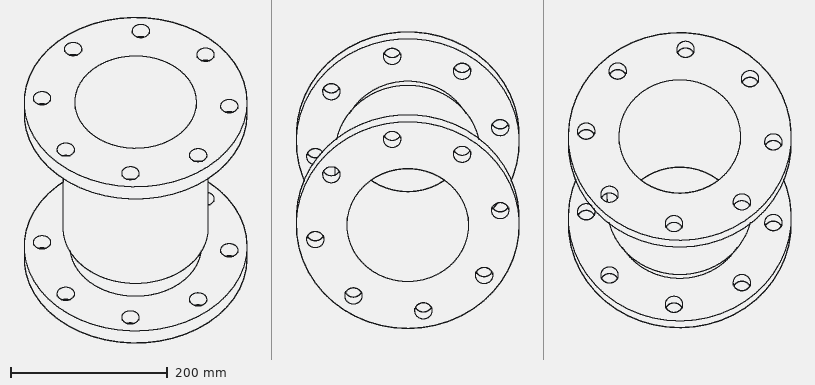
import cadquery as cq

height = 307.0
flange_radius = 285.0 / 2
flange_thickness = 24.0

bore_radius = 155.3 / 2
neck_radius = 168.2 / 2
sleeve_radius = 185.5 / 2
neck_end = 54.0
shoulder_height = 6.0
shoulder_pull = 4.5

bolt_count = 8
bolt_circle_radius = 239.5 / 2
bolt_hole_radius = 22.0 / 2
first_bolt_angle = 180.0 / bolt_count


def make_tube():
    """Revolve the half section: two flanges, two necks and the thicker sleeve between them.

    Each shoulder is one S-curve that leaves the neck and meets the sleeve parallel to the axis.
    """
    sleeve_bottom = neck_end + shoulder_height
    lower_shoulder = [
        (neck_radius, neck_end),
        (neck_radius, neck_end + shoulder_pull),
        (sleeve_radius, sleeve_bottom - shoulder_pull),
        (sleeve_radius, sleeve_bottom),
    ]
    upper_shoulder = [(radius, height - z) for radius, z in reversed(lower_shoulder)]
    return (
        cq.Workplane("XZ")
        .moveTo(bore_radius, 0)
        .lineTo(flange_radius, 0)
        .lineTo(flange_radius, flange_thickness)
        .lineTo(neck_radius, flange_thickness)
        .lineTo(neck_radius, neck_end)
        .bezier(lower_shoulder)
        .lineTo(sleeve_radius, height - sleeve_bottom)
        .bezier(upper_shoulder)
        .lineTo(neck_radius, height - flange_thickness)
        .lineTo(flange_radius, height - flange_thickness)
        .lineTo(flange_radius, height)
        .lineTo(bore_radius, height)
        .close()
        .revolve(360, (0, 0, 0), (0, 1, 0))
    )


def make_bolt_holes():
    """Cylinders parallel to Z that pass through both flanges, clear of the sleeve."""
    return (
        cq.Workplane("XY")
        .polarArray(bolt_circle_radius, first_bolt_angle, 360, bolt_count)
        .circle(bolt_hole_radius)
        .extrude(height)
    )


result = make_tube().cut(make_bolt_holes())